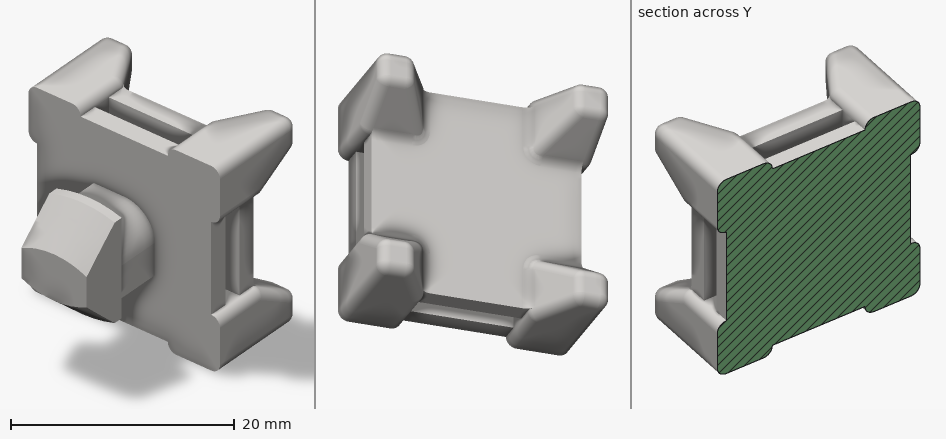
import cadquery as cq
import math

body_size = 22.0
leg_size = 6.0
leg_length = 11.0
plate_inset = 1.0
plate_thickness = 2.0
plate_gap = 2.0
leg_slope = 30.0
round_radius = 1.0
foot_radius = 1.0

stem_half = 3.5
stem_length = 5.0

head_width = 7.5
head_half_height = 6.0
head_rim = 1.0
head_cone = 4.0
head_flank_radius = 12.0
head_taper = 3.5

half_body = body_size / 2
half_plate = half_body - plate_inset
leg_inner = half_body - leg_size
deck = 2 * plate_thickness + plate_gap
slope_run = (leg_length - deck) * math.tan(math.radians(leg_slope))


def block(x0, x1, y0, y1, z0, z1):
    """Box given by its limits along each axis."""
    return cq.Workplane("XY").box(x1 - x0, y1 - y0, z1 - z0, centered=False).translate((x0, y0, z0))


def make_sharp_leg():
    """Unrounded leg in the +X +Z corner, sloped on both inner sides above the deck."""
    profile = [
        (leg_inner, 0),
        (half_body, 0),
        (half_body, leg_length),
        (leg_inner + slope_run, leg_length),
        (leg_inner, deck),
    ]
    sloped_in_x = cq.Workplane("XY").polyline(profile).close().extrude(half_body)
    sloped_in_z = cq.Workplane("ZY").polyline(profile).close().extrude(-half_body)
    return sloped_in_x.intersect(sloped_in_z)


def make_leg():
    """Leg with every edge rounded except those around the base face."""
    return make_sharp_leg().edges("not <Y").fillet(round_radius)


def make_foot():
    """Corner of the upper plate with a concave fillet running up the inner slopes of a leg."""
    plate_bottom = deck - plate_thickness
    above_deck = block(0, half_body, deck, leg_length, 0, half_body)
    slopes = make_sharp_leg().intersect(above_deck)
    ridge_middle_inset = leg_inner + slope_run / 2
    ridge_middle = (ridge_middle_inset, (deck + leg_length) / 2, ridge_middle_inset)
    slopes = slopes.edges(cq.NearestToPointSelector(ridge_middle)).fillet(round_radius)

    foot = slopes.union(block(0, half_body, plate_bottom, deck, 0, half_body))
    deck_face = foot.faces(cq.NearestToPointSelector((leg_inner / 2, deck, leg_inner / 2)))
    foot = deck_face.edges("not(<X or >X or <Z or >Z)").fillet(foot_radius)

    foot_top = deck + foot_radius * (1 - math.sin(math.radians(leg_slope)))
    return foot.intersect(block(0, half_plate, plate_bottom, foot_top, 0, half_plate))


def make_body():
    """Two spaced plates joined by a leg at each corner."""
    base = block(-half_plate, half_plate, 0, plate_thickness, -half_plate, half_plate)
    top = base.translate((0, plate_thickness + plate_gap, 0))
    body = base.union(top)
    leg = make_leg().union(make_foot())
    for quarter in range(4):
        body = body.union(leg.rotate((0, 0, 0), (0, 1, 0), 90 * quarter))
    return body


def make_stem():
    """Round bar squared off at the -X +Z and +X -Z corners."""
    stem = cq.Workplane("XZ").circle(stem_half).extrude(stem_length)
    square_corner = block(-stem_half, 0, -stem_length, 0, 0, stem_half)
    for half_turn in (0, 180):
        stem = stem.union(square_corner.rotate((0, 0, 0), (0, 1, 0), half_turn))
    return stem


def make_head():
    """Block trimmed above and below by a large cylinder that tapers to a cone."""
    head_length = head_rim + head_cone
    head = block(
        -head_width / 2, head_width / 2,
        -stem_length - head_length, -stem_length,
        -head_half_height, head_half_height,
    )
    flank_profile = [
        (0, 0),
        (head_flank_radius, 0),
        (head_flank_radius, -head_rim),
        (head_flank_radius - head_taper, -head_length),
        (0, -head_length),
    ]
    flank = cq.Workplane("XY").polyline(flank_profile).close().revolve(360, (0, 0), (0, 1))
    axis_offset = head_flank_radius - head_half_height
    for side in (-1, 1):
        head = head.intersect(flank.translate((0, -stem_length, side * axis_offset)))
    return head


result = make_body().union(make_stem()).union(make_head())